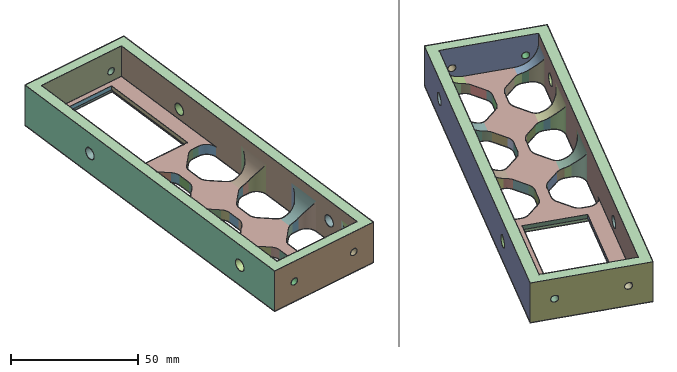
import cadquery as cq
import math

length = 155.0
width = 50.0
height = 20.0
end_wall = 4.3
long_wall = 4.8
floor_thickness = 5.0
inner_length = length - 2 * end_wall
inner_width = width - 2 * long_wall
inner_half_width = inner_width / 2
mid_height = height / 2

window_length = 47.1
window_width = 26.7
window_center_x = -47.3
window_lip_thickness = 2.0
relief_margin = 1.9
relief_length = window_length + 2 * relief_margin
relief_width = window_width + 2 * relief_margin
relief_depth = floor_thickness - window_lip_thickness

cell_pitch = 31.0
cells_per_row = 3
last_cell_x = 55.8
cell_xs = [last_cell_x - i * cell_pitch for i in range(cells_per_row)]
cell_half_width = 12.9
cell_inner_y = 2.5
cell_chamfer = 7.9
cell_corner_radius = 5.0

rib_radius = 9.9
rib_start_x = cell_xs[-1]
rib_length = inner_length / 2 - rib_start_x

long_wall_hole_diameter = 5.3
long_wall_hole_xs = (last_cell_x - cells_per_row * cell_pitch, last_cell_x)
end_wall_hole_diameter = 3.3
end_wall_hole_y = 15.0


def make_tray():
    """Open box with a solid floor."""
    outside = cq.Workplane("XY").rect(length, width).extrude(height)
    cavity = (
        cq.Workplane("XY")
        .workplane(offset=floor_thickness)
        .rect(inner_length, inner_width)
        .extrude(height - floor_thickness)
    )
    return outside.cut(cavity)


def make_rib():
    """Quarter-round concave strip, tangent to the floor and the +Y long wall."""
    arc_start_y = inner_half_width - rib_radius
    arc_top_z = floor_thickness + rib_radius
    arc_mid_offset = rib_radius * math.sin(math.radians(45))
    arc_middle = (arc_start_y + arc_mid_offset, arc_top_z - arc_mid_offset)
    overlap_y = inner_half_width + long_wall / 2
    overlap_z = floor_thickness / 2
    return (
        cq.Workplane("YZ", origin=(rib_start_x, 0, 0))
        .moveTo(arc_start_y, floor_thickness)
        .threePointArc(arc_middle, (inner_half_width, arc_top_z))
        .lineTo(overlap_y, arc_top_z)
        .lineTo(overlap_y, overlap_z)
        .lineTo(arc_start_y, overlap_z)
        .close()
        .extrude(rib_length)
    )


def make_cell(center_x):
    """Chamfered opening against the +Y long wall, with all its upright corners rounded."""
    side_y = cell_inner_y + cell_chamfer
    flat_half_width = cell_half_width - cell_chamfer
    outline = [
        (-flat_half_width, cell_inner_y),
        (flat_half_width, cell_inner_y),
        (cell_half_width, side_y),
        (cell_half_width, inner_half_width),
        (-cell_half_width, inner_half_width),
        (-cell_half_width, side_y),
    ]
    return (
        cq.Workplane("XY", origin=(center_x, 0, 0))
        .polyline(outline)
        .close()
        .extrude(height)
        .edges("|Z")
        .fillet(cell_corner_radius)
    )


def make_window():
    """Window through the floor together with the wider relief beneath its lip."""
    base = cq.Workplane("XY", origin=(window_center_x, 0, 0))
    opening = base.rect(window_length, window_width).extrude(floor_thickness)
    relief = base.rect(relief_length, relief_width).extrude(relief_depth)
    return opening.union(relief)


def make_wall_holes():
    """Round holes running across the tray in Y and along it in X."""
    across = (
        cq.Workplane("XZ", origin=(0, width / 2, mid_height))
        .pushPoints([(x, 0) for x in long_wall_hole_xs])
        .circle(long_wall_hole_diameter / 2)
        .extrude(width)
    )
    along = (
        cq.Workplane("YZ", origin=(-length / 2, 0, mid_height))
        .pushPoints([(-end_wall_hole_y, 0), (end_wall_hole_y, 0)])
        .circle(end_wall_hole_diameter / 2)
        .extrude(length)
    )
    return across.union(along)


rib = make_rib()
result = make_tray().union(rib).union(rib.mirror("XZ"))

for cell_x in cell_xs:
    cell = make_cell(cell_x)
    result = result.cut(cell).cut(cell.mirror("XZ"))

result = result.cut(make_window()).cut(make_wall_holes())